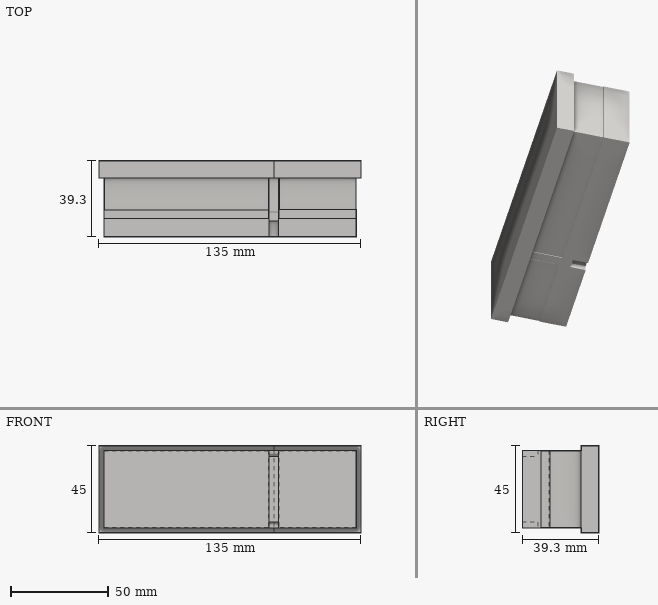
import cadquery as cq

total_length = 135.0
flange_height = 45.0
flange_depth = 9.0
right_flange_length = total_length / 3
left_flange_length = total_length - right_flange_length

cover_height = 40.0
rim = (flange_height - cover_height) / 2
cover_front = 39.3
left_cover_rear = 25.5
right_cover_rear = 25.1

plug_inset = 0.2
plug_front = 29.7

taper_front = 26.3
taper_drop = 0.12
shoulder_front = 31.2
tongue_height = 33.8

left_end = -total_length / 2
seam = left_end + left_flange_length
right_end = total_length / 2


def block(x_start, x_end, rear, front, height):
    """Box between two X positions and two depths behind the rear plane, centred on Z."""
    box = cq.Workplane("XY").box(x_end - x_start, front - rear, height)
    return box.translate(((x_start + x_end) / 2, -(rear + front) / 2, 0))


def plug(x_start, x_end):
    """Plug inside the rim of a flange that spans x_start to x_end."""
    inset = rim + plug_inset
    height = cover_height - 2 * plug_inset
    return block(x_start + inset, x_end - inset, flange_depth, plug_front, height)


def base(x_start, x_end):
    """Flange with the plug in front of it."""
    flange = block(x_start, x_end, 0, flange_depth, flange_height)
    return flange.union(plug(x_start, x_end))


def cover(x_start, x_end, rear):
    """Cover with a recess in its rear that fits the plug."""
    body = block(x_start + rim, x_end - rim, rear, cover_front, cover_height)
    return body.cut(plug(x_start, x_end))


def joiner():
    """Bar with a slightly tapered rear, a full-height shoulder and a shorter front tongue."""
    shoulder_top = cover_height / 2
    rear_top = shoulder_top - taper_drop
    tongue_top = tongue_height / 2
    upper_half = [
        (-flange_depth, rear_top),
        (-taper_front, shoulder_top),
        (-shoulder_front, shoulder_top),
        (-shoulder_front, tongue_top),
        (-cover_front, tongue_top),
    ]
    lower_half = [(y, -z) for y, z in reversed(upper_half)]
    profile = cq.Workplane("YZ", origin=(seam, 0, 0)).polyline(upper_half + lower_half).close()
    return profile.extrude(rim, both=True)


left_base = base(left_end, seam)
right_base = base(seam, right_end)
left_cover = cover(left_end, seam, left_cover_rear)
right_cover = cover(seam, right_end, right_cover_rear)
slot_joiner = joiner()

result = cq.Compound.makeCompound([
    left_base.val(),
    right_base.val(),
    left_cover.val(),
    right_cover.val(),
    slot_joiner.val(),
])